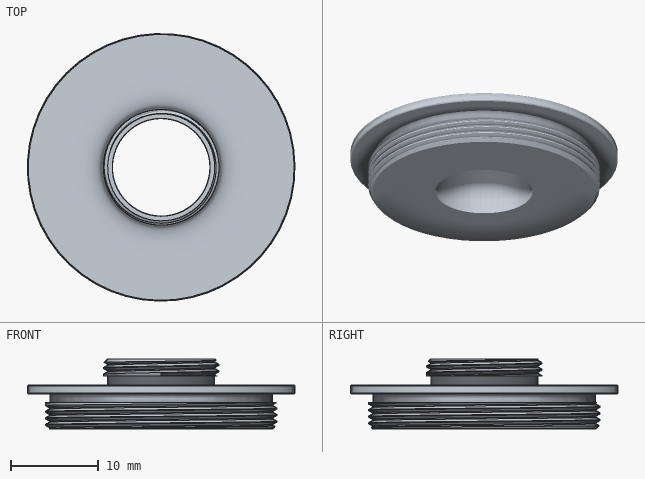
import cadquery as cq
import math

flange_diameter = 30.5
flange_thickness = 1.0
edge_chamfer = 0.1

height = 8.0
lower_thread_length = 3.0
neck_length = 1.0
flange_bottom = lower_thread_length + neck_length
flange_top = flange_bottom + flange_thickness
upper_thread_bottom = flange_top + neck_length

bore_radius = 5.55
lower_crest_radius = 13.2
upper_crest_radius = 6.6
lower_neck_depth = 0.52
upper_neck_depth = 0.5
end_chamfer = 0.5

seam_angle = 135

pitch = lower_thread_length / 4
groove_depth = 0.45
crest_flat = pitch / 8
flank_slope = math.tan(math.radians(30))
groove_overshoot = 0.045

lower_end_rise = 0.05
lower_groove_end_angle = 166
lower_groove_end_height = lower_thread_length + lower_end_rise
lower_turns = 5
lower_groove_start_height = lower_groove_end_height - lower_turns * pitch
upper_groove_start_angle = -90
upper_turns = 4


def make_body():
    """Revolve the unthreaded half section, including both relief necks."""
    lower_neck = lower_crest_radius - lower_neck_depth
    upper_neck = upper_crest_radius - upper_neck_depth
    rim = flange_diameter / 2
    section = [
        (bore_radius, 0),
        (lower_crest_radius - end_chamfer, 0),
        (lower_crest_radius, end_chamfer),
        (lower_crest_radius, lower_thread_length),
        (lower_neck, lower_thread_length),
        (lower_neck, flange_bottom),
        (rim - edge_chamfer, flange_bottom),
        (rim, flange_bottom + edge_chamfer),
        (rim, flange_top - edge_chamfer),
        (rim - edge_chamfer, flange_top),
        (upper_neck, flange_top),
        (upper_neck, upper_thread_bottom),
        (upper_crest_radius, upper_thread_bottom),
        (upper_crest_radius, height - end_chamfer),
        (upper_crest_radius - end_chamfer, height),
        (bore_radius, height),
    ]
    body = cq.Workplane("XZ").polyline(section).close().revolve(360, (0, 0), (0, 1))
    return body.rotate((0, 0, 0), (0, 0, 1), seam_angle)


def make_groove(crest_radius, start_height, start_angle, turns):
    """Sweep one right-hand thread groove, to be cut from a cylinder of crest_radius."""
    root_radius = crest_radius - groove_depth
    outer_radius = crest_radius + groove_overshoot
    outer_half = (pitch - crest_flat) / 2 + groove_overshoot * flank_slope
    root_half = (pitch - crest_flat) / 2 - groove_depth * flank_slope
    profile = cq.Workplane("XZ").polyline([
        (root_radius, -root_half),
        (outer_radius, -outer_half),
        (outer_radius, outer_half),
        (root_radius, root_half),
    ]).close()
    helix = cq.Workplane(cq.Wire.makeHelix(pitch, turns * pitch, root_radius))
    groove = profile.sweep(helix, isFrenet=True)
    return groove.rotate((0, 0, 0), (0, 0, 1), start_angle).translate((0, 0, start_height))


lower_groove = make_groove(
    lower_crest_radius, lower_groove_start_height, lower_groove_end_angle, lower_turns
)
upper_groove = make_groove(
    upper_crest_radius, upper_thread_bottom, upper_groove_start_angle, upper_turns
)
result = make_body().cut(lower_groove).cut(upper_groove)